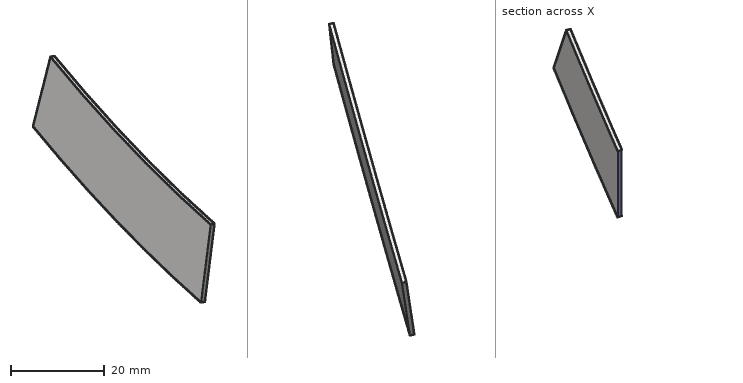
import cadquery as cq
import math

inner_radius = 392.15
band_width = 19.3
outer_radius = inner_radius + band_width
thickness = 1.0

left_angle = 21.6
right_angle = 11.7
middle_angle = (left_angle + right_angle) / 2


def ring_point(radius, angle):
    """Point (x, z) on a circle around the ring centre."""
    turn = math.radians(angle)
    return (-radius * math.sin(turn), -radius * math.cos(turn))


result = (
    cq.Workplane("XZ")
    .moveTo(*ring_point(inner_radius, left_angle))
    .threePointArc(ring_point(inner_radius, middle_angle), ring_point(inner_radius, right_angle))
    .lineTo(*ring_point(outer_radius, right_angle))
    .threePointArc(ring_point(outer_radius, middle_angle), ring_point(outer_radius, left_angle))
    .close()
    .extrude(thickness / 2, both=True)
)